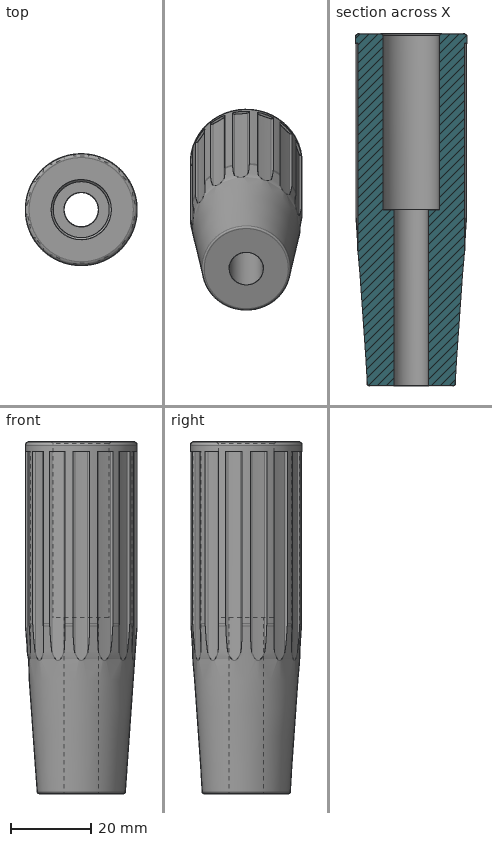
import cadquery as cq
import math

length = 88.0
grip_radius = 14.0
tip_radius = 11.0
taper_height = 42.2
shoulder_blend_radius = 7.5
top_rim_fillet = 1.0
bottom_rim_fillet = 0.5

through_diameter = 8.5
counterbore_diameter = 14.0
counterbore_depth = length / 2
counterbore_chamfer = 0.5

flute_count = 14
flute_depth = 0.63
flute_width = 4.2
flute_corner_fillet = 0.5
flute_floor_radius = 29.9
flute_top = length - 2.5
cutter_clearance = 0.9


def make_body():
    """Solid handle: a tapered lower end that blends into a straight grip."""
    taper_angle = math.atan((grip_radius - tip_radius) / taper_height)
    blend_reach = shoulder_blend_radius * math.tan(taper_angle / 2)
    blend_start = (
        grip_radius - blend_reach * math.sin(taper_angle),
        taper_height - blend_reach * math.cos(taper_angle),
    )
    blend_end = (grip_radius, taper_height + blend_reach)
    blend_middle = (
        grip_radius - shoulder_blend_radius * (1 - math.cos(taper_angle / 2)),
        blend_end[1] - shoulder_blend_radius * math.sin(taper_angle / 2),
    )
    body = (
        cq.Workplane("XZ")
        .lineTo(tip_radius, 0)
        .lineTo(*blend_start)
        .threePointArc(blend_middle, blend_end)
        .lineTo(grip_radius, length)
        .lineTo(0, length)
        .close()
        .revolve(360, (0, 0), (0, 1))
    )
    body = body.faces(">Z").edges().fillet(top_rim_fillet)
    return body.faces("<Z").edges().fillet(bottom_rim_fillet)


def make_flute_cutter():
    """Groove along the -Y side, with a slightly concave floor and rounded inner corners."""
    half_width = flute_width / 2
    floor_middle = grip_radius - flute_depth
    floor_rise = flute_floor_radius - math.sqrt(flute_floor_radius**2 - half_width**2)
    floor_edge = floor_middle + floor_rise
    outer = grip_radius + cutter_clearance

    return (
        cq.Workplane("XY")
        .moveTo(-half_width, -outer)
        .lineTo(-half_width, -floor_edge)
        .threePointArc((0, -floor_middle), (half_width, -floor_edge))
        .lineTo(half_width, -outer)
        .close()
        .extrude(flute_top)
        .edges("|Z")
        .edges(">Y")
        .fillet(flute_corner_fillet)
    )


def cut_flutes(body):
    """Cut equally spaced flutes that run out on the taper."""
    cutter = make_flute_cutter()
    for index in range(flute_count):
        angle = index * 360 / flute_count
        body = body.cut(cutter.rotate((0, 0, 0), (0, 0, 1), angle))
    return body


def cut_bore(body):
    """Cut the through hole and the chamfered counterbore in the top face."""
    return (
        body.faces(">Z")
        .workplane(origin=(0, 0, length))
        .cboreHole(through_diameter, counterbore_diameter, counterbore_depth)
        .faces(">Z")
        .edges(cq.selectors.RadiusNthSelector(0))
        .chamfer(counterbore_chamfer)
    )


result = cut_bore(cut_flutes(make_body())).solids()